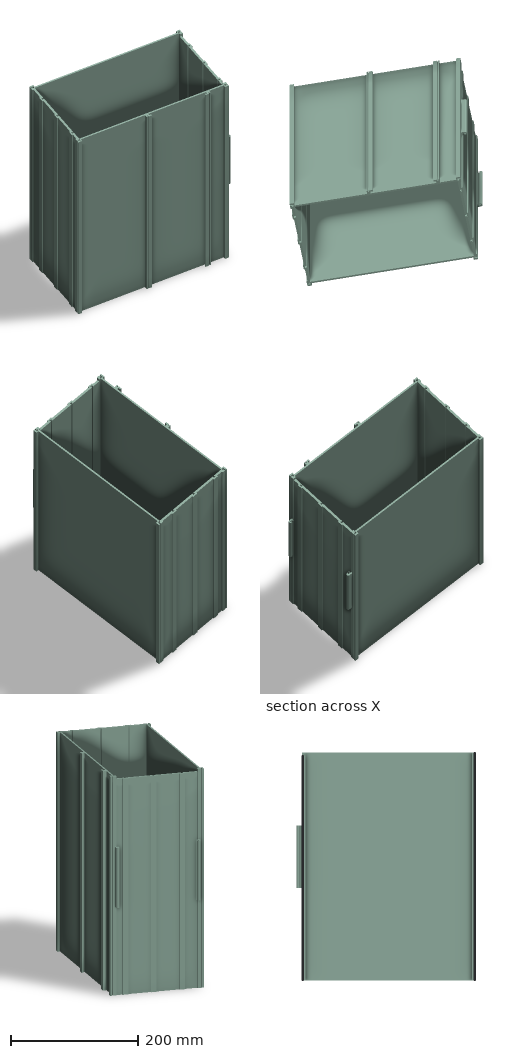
import cadquery as cq

height = 357.75
body_width = 154.2
body_depth = 272.5
total_width = 155.6
total_depth = 281.18

corner_overhang_x = 4.3
ridge_height = 1.75
side_wall = 2.8
end_wall = 3.8
back_wall_drop = 5.0

corner_length_x = 9.8
corner_length_y = 7.0
corner_slot_start = 2.8
corner_slot_width = 1.4
corner_slot_depth = 5.4
corner_cavity_width = 3.3
corner_cavity_height = 2.2

pad_width = 9.2
pad_pitch = 46.8
pad_row_offset = 5.3
tee_mouth = 2.2
tee_cavity_width = 3.8
tee_cavity_height = 1.4
tee_depth = 3.2

rail_outer_edges = (123.2, 239.2)
rail_width = 9.5
rail_foot_width = 5.6
rail_lip = 2.6
rail_slot_width = 1.5
rail_slot_margin = 1.8
rail_slot_depth = 2.8

hook_length = 98.0
hook_base_z = 145.0
hook_radius = 2.75
hook_stem = 2.6
hook_tip = 1.3
hook_tip_drop = 1.6
hook_ledge = 0.9
hook_ledge_gap = 1.9

half_width = body_width / 2
side_outer_x = half_width - corner_overhang_x
side_inner_x = side_outer_x - side_wall
end_outer_low = ridge_height
end_outer_high = body_depth - ridge_height
pad_centres = [pad_row_offset + step * pad_pitch for step in (-1, 0, 1)]


def bar(x_start, x_end, y_start, y_end, length=height, base_z=0):
    """Rectangular bar along Z between two X and two Y limits, given in either order."""
    return (
        cq.Workplane("XY", origin=(0, 0, base_z))
        .center((x_start + x_end) / 2, (y_start + y_end) / 2)
        .rect(abs(x_end - x_start), abs(y_end - y_start))
        .extrude(length)
    )


def make_tube():
    outer = bar(-side_outer_x, side_outer_x, end_outer_low, end_outer_high)
    bore = bar(-side_inner_x, side_inner_x, end_outer_low + end_wall, end_outer_high - end_wall)
    return outer.cut(bore)


def add_corner(body, side, face_y, inward):
    """Corner block; `side` is the X sign and `inward` the Y sign towards the middle."""
    outer_x = side * half_width
    ridge = bar(
        outer_x,
        outer_x - side * corner_length_x,
        face_y,
        face_y + inward * (ridge_height + end_wall / 2),
    )
    flank = bar(
        outer_x,
        side * (side_outer_x - side_wall / 2),
        face_y,
        face_y + inward * corner_length_y,
    )
    slot_x = outer_x - side * corner_slot_start
    slot_floor_y = face_y + inward * corner_slot_depth
    slot = bar(slot_x, slot_x - side * corner_slot_width, face_y, slot_floor_y)
    cavity = bar(
        slot_x,
        slot_x - side * corner_cavity_width,
        slot_floor_y - inward * corner_cavity_height,
        slot_floor_y,
    )
    return body.union(ridge).union(flank).cut(slot).cut(cavity)


def add_pad(body, centre_x, face_y, inward):
    """Raised pad on an end wall, with a T slot from the inner face of that wall."""
    pad = bar(
        centre_x - pad_width / 2,
        centre_x + pad_width / 2,
        face_y,
        face_y + inward * (ridge_height + end_wall / 2),
    )
    inner_y = face_y + inward * (ridge_height + end_wall)
    floor_y = inner_y - inward * tee_depth
    mouth = bar(centre_x - tee_mouth / 2, centre_x + tee_mouth / 2, floor_y, inner_y)
    cavity = bar(
        centre_x - tee_cavity_width / 2,
        centre_x + tee_cavity_width / 2,
        floor_y,
        floor_y + inward * tee_cavity_height,
    )
    return body.union(pad).cut(mouth).cut(cavity)


def add_rail(body, outer_y, facing):
    """Rail on the +X wall; `facing` is the Y sign in which its lip points."""
    tip_x = total_width - half_width
    foot = bar(side_outer_x - side_wall / 2, tip_x, outer_y, outer_y + facing * rail_foot_width)
    lip = bar(tip_x - rail_lip, tip_x, outer_y, outer_y + facing * rail_width)
    slot_y = outer_y + facing * rail_slot_margin
    slot = bar(tip_x - rail_slot_depth, tip_x, slot_y, slot_y + facing * rail_slot_width)
    return body.union(foot.union(lip).cut(slot))


def lower_back_wall(body):
    half_notch = half_width - corner_length_x
    inner_y = end_outer_high - end_wall
    notch = bar(-half_notch, half_notch, inner_y, body_depth, back_wall_drop, height - back_wall_drop)
    return body.cut(notch)


def make_hook(side):
    """Arched hook over the +Y face, curling towards the middle of the part."""
    stem_outer = side * (half_width - corner_length_x + hook_stem)
    stem_inner = stem_outer - side * hook_stem
    arch_x = stem_outer - side * hook_radius
    tip_outer = arch_x - side * hook_radius
    tip_inner = tip_outer + side * hook_tip
    arch_y = total_depth - hook_radius
    inner_radius = abs(stem_inner - tip_inner) / 2
    inner_arch_x = (stem_inner + tip_inner) / 2
    tip_y = arch_y - hook_tip_drop
    ledge_top = tip_y - hook_ledge_gap
    return (
        cq.Workplane("XY", origin=(0, 0, hook_base_z))
        .moveTo(stem_outer, body_depth - ridge_height)
        .lineTo(stem_outer, arch_y)
        .threePointArc((arch_x, total_depth), (tip_outer, arch_y))
        .lineTo(tip_outer, tip_y)
        .lineTo(tip_inner, tip_y)
        .lineTo(tip_inner, arch_y)
        .threePointArc((inner_arch_x, arch_y + inner_radius), (stem_inner, arch_y))
        .lineTo(stem_inner, ledge_top)
        .lineTo(tip_outer, ledge_top)
        .lineTo(tip_outer, ledge_top - hook_ledge)
        .lineTo(stem_inner, ledge_top - hook_ledge)
        .lineTo(stem_inner, body_depth - ridge_height)
        .close()
        .extrude(hook_length)
    )


result = make_tube()
for face_y, inward in ((0, 1), (body_depth, -1)):
    for side in (-1, 1):
        result = add_corner(result, side, face_y, inward)
    for centre_x in pad_centres:
        result = add_pad(result, centre_x, face_y, inward)

result = lower_back_wall(result)

for outer_y, facing in zip(rail_outer_edges, (1, -1)):
    result = add_rail(result, outer_y, facing)

for side in (-1, 1):
    result = result.union(make_hook(side))